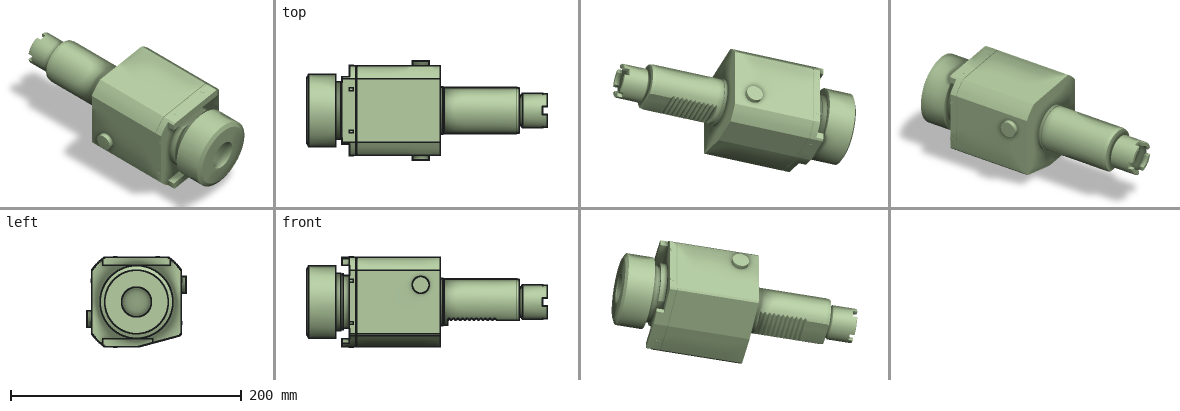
import cadquery as cq
import math

overall_length = 209.0

nut_radius = 31.5
nut_length = 25.5
nut_chamfer_length = 2.0
nut_chamfer_depth = 4.0
bore_radius = 13.0
bore_depth = 15.9
collar_radius = 25.0
collar_end = 29.9
collar_step_radius = 24.2
collar_step_end = 31.8
spindle_radius = 27.5
spindle_flat_half_width = 23.0

body_start = 37.2
body_end = 116.0
body_half_width = 38.9
corner_radius = 47.6
slant_start_y = -2.0
slant_angle = 15.0
groove_x = 43.3
groove_width = 0.8
groove_depth = 0.6

key_start = 30.7
key_inner_z = 31.8
key_half_width = 29.3
lower_key_end_y = -14.2

mark_length = 3.3
mark_width = 2.3
mark_height = 0.2
mark_offset = 18.4
mark_embed = 2.0

pin_radius = 7.3
pin_x = 99.0
pin_offset_z = 14.8
pin_reach = 43.0

flange_radius = 20.5
flange_end = 118.3
groove_neck_radius = 19.6
shank_start = 119.5
shank_radius = 20.0
shank_end = 184.5
shank_chamfer_length = 2.7
shank_chamfer_depth = 0.6
rack_start = 122.7
rack_flat_z = -15.9
first_notch_start = 121.5
tooth_pitch = 4.0
tooth_depth = 1.7
tooth_count = 11

cone_start_radius = 11.3
drive_start = 187.5
drive_radius = 15.0
drive_tip_chamfer = 0.5
slot_width = 6.7
slot_depth = 4.2
drive_recess_radius = 11.5


def box(x_min, x_max, y_min, y_max, z_min, z_max):
    return cq.Workplane("XY").box(
        x_max - x_min, y_max - y_min, z_max - z_min, centered=False
    ).translate((x_min, y_min, z_min))


def cylinder_x(x_min, x_max, radius):
    return cq.Workplane("YZ").workplane(offset=x_min).circle(radius).extrude(x_max - x_min)


def make_housing_section(x_min, x_max, inset=0.0):
    """Square prism with turned corners and a slanted lower side, shrunk all round by the inset."""
    half_width = body_half_width - inset
    square = box(x_min, x_max, -half_width, half_width, -half_width, half_width)
    section = square.intersect(cylinder_x(x_min, x_max, corner_radius - inset))
    slant_run = 2 * body_half_width
    slant_rise = slant_run * math.tan(math.radians(slant_angle))
    slant = (
        cq.Workplane("YZ")
        .workplane(offset=x_min)
        .moveTo(slant_start_y, -half_width)
        .lineTo(slant_start_y - slant_run, -half_width)
        .lineTo(slant_start_y - slant_run, -half_width + slant_rise)
        .close()
        .extrude(x_max - x_min)
    )
    return section.cut(slant)


def make_housing():
    """Housing block with a locating key along its upper and lower front edges and a rim groove."""
    reach = 2 * body_half_width
    upper_key = box(key_start, body_start, -key_half_width, key_half_width, key_inner_z, reach)
    lower_key = box(key_start, body_start, lower_key_end_y, key_half_width, -reach, -key_inner_z)
    keys = make_housing_section(key_start, body_start).intersect(upper_key.union(lower_key))

    groove_start = groove_x - groove_width / 2
    groove_end = groove_x + groove_width / 2
    front_plate = make_housing_section(body_start, groove_start)
    groove_floor = make_housing_section(groove_start, groove_end, groove_depth)
    block = make_housing_section(groove_end, body_end)
    return keys.union(front_plate).union(groove_floor).union(block)


def make_index_marks():
    """Two marks on each flat side; the slanted side keeps only one."""
    marks = cq.Workplane("XY")
    for side_angle, offsets in (
        (0, (-mark_offset, mark_offset)),
        (90, (-mark_offset, mark_offset)),
        (180, (-mark_offset,)),
        (270, (-mark_offset, mark_offset)),
    ):
        for offset in offsets:
            mark = box(
                body_start,
                body_start + mark_length,
                offset - mark_width / 2,
                offset + mark_width / 2,
                body_half_width - mark_embed,
                body_half_width + mark_height,
            )
            marks = marks.add(mark.rotate((0, 0, 0), (1, 0, 0), side_angle))
    return marks.combine()


def make_pin(side):
    """Pin on the +Y side (side = 1, low) or the -Y side (side = -1, high)."""
    return (
        cq.Workplane("XZ")
        .center(pin_x, -side * pin_offset_z)
        .circle(pin_radius)
        .extrude(-side * pin_reach)
    )


def make_turned_parts():
    """Nut, collar, shank and drive end, revolved about the tool axis."""
    profile = [
        (0, 0),
        (0, nut_radius - nut_chamfer_depth),
        (nut_chamfer_length, nut_radius),
        (nut_length, nut_radius),
        (nut_length, collar_radius),
        (collar_end, collar_radius),
        (collar_end, collar_step_radius),
        (collar_step_end, collar_step_radius),
        (collar_step_end, spindle_flat_half_width),
        (body_end, spindle_flat_half_width),
        (body_end, flange_radius),
        (flange_end, flange_radius),
        (flange_end, groove_neck_radius),
        (shank_start, groove_neck_radius),
        (shank_start, shank_radius),
        (shank_end - shank_chamfer_length, shank_radius),
        (shank_end, shank_radius - shank_chamfer_depth),
        (shank_end, cone_start_radius),
        (drive_start, drive_radius),
        (overall_length - drive_tip_chamfer, drive_radius),
        (overall_length, drive_radius - drive_tip_chamfer),
        (overall_length, 0),
    ]
    return cq.Workplane("XY").polyline(profile).close().revolve(360, (0, 0, 0), (1, 0, 0))


def make_spindle_flange():
    """Disc in front of the housing with two wrench flats."""
    flats = box(
        collar_step_end,
        body_start,
        -spindle_radius,
        spindle_radius,
        -spindle_flat_half_width,
        spindle_flat_half_width,
    )
    return cylinder_x(collar_step_end, body_start, spindle_radius).intersect(flats)


def make_rack_cut():
    """Flat under the shank with a row of V notches."""
    cut = box(rack_start, shank_end, -shank_radius, shank_radius, -2 * shank_radius, rack_flat_z)
    for index in range(tooth_count):
        notch_start = first_notch_start + index * tooth_pitch
        notch = (
            cq.Workplane("XZ")
            .moveTo(max(notch_start, rack_start), rack_flat_z)
            .lineTo(notch_start + tooth_pitch, rack_flat_z)
            .lineTo(notch_start + tooth_pitch / 2, rack_flat_z + tooth_depth)
            .close()
            .extrude(shank_radius, both=True)
        )
        cut = cut.union(notch)
    return cut


def make_drive_slots():
    """Cross slot and central recess in the drive end."""
    slot = box(
        overall_length - slot_depth,
        overall_length,
        -2 * drive_radius,
        2 * drive_radius,
        -slot_width / 2,
        slot_width / 2,
    )
    recess = cylinder_x(overall_length - slot_depth, overall_length, drive_recess_radius)
    return recess.union(slot).union(slot.rotate((0, 0, 0), (1, 0, 0), 90))


result = (
    make_turned_parts()
    .union(make_spindle_flange())
    .union(make_housing())
    .union(make_index_marks())
    .union(make_pin(1))
    .union(make_pin(-1))
    .cut(make_rack_cut())
    .cut(make_drive_slots())
    .cut(cylinder_x(0, bore_depth, bore_radius))
)